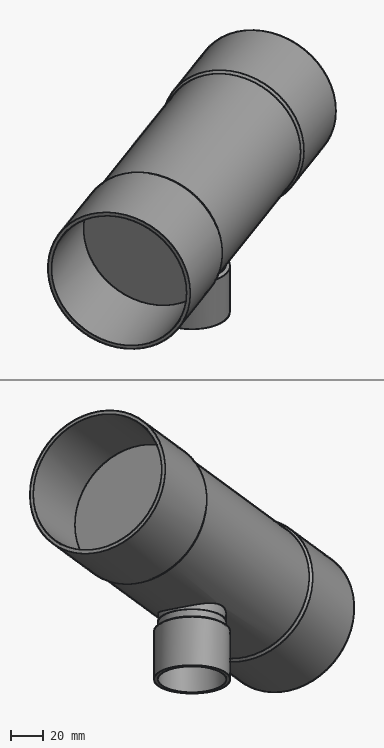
import cadquery as cq

length = 256.0
pipe_diameter = 91.0
collar_diameter = 94.0
collar_length = 58.0
collar_taper = 1.8
socket_diameter = 89.0
socket_depth = 56.3

branch_drop = 85.2
branch_root_diameter = 42.0
branch_neck_diameter = 42.5
branch_collar_diameter = 47.0
branch_collar_length = 33.5
branch_collar_taper = 1.5
branch_neck_length = 4.5
branch_wall = (collar_diameter - socket_diameter) / 2
branch_socket_diameter = branch_collar_diameter - 2 * branch_wall
branch_socket_depth = branch_collar_length - branch_collar_taper


def cylinder(diameter, height):
    """Upright cylinder standing on the XY plane."""
    return cq.Workplane("XY").circle(diameter / 2).extrude(height)


def tapered_collar(small_diameter, large_diameter, collar_height, taper):
    """Upright collar whose open end is at Z = 0 and whose top narrows to the small diameter."""
    profile = [
        (0, 0),
        (large_diameter / 2, 0),
        (large_diameter / 2, collar_height - taper),
        (small_diameter / 2, collar_height),
        (0, collar_height),
    ]
    return cq.Workplane("XZ").polyline(profile).close().revolve(360, (0, 0, 0), (0, 1, 0))


def place_at_pipe_ends(shape):
    """Two copies of an upright shape, each pointing inward from one end of the pipe."""
    front = shape.rotate((0, 0, 0), (1, 0, 0), -90).translate((0, -length / 2, 0))
    return front.union(front.mirror("XZ"))


def make_branch():
    """Branch with a collar, a short neck and a root that reaches into the pipe."""
    collar = tapered_collar(
        branch_neck_diameter, branch_collar_diameter, branch_collar_length, branch_collar_taper
    )
    neck = cylinder(branch_neck_diameter, branch_collar_length + branch_neck_length)
    root = cylinder(branch_root_diameter, branch_drop)
    return collar.union(neck).union(root).translate((0, 0, -branch_drop))


pipe = cylinder(pipe_diameter, length).translate((0, 0, -length / 2)).rotate((0, 0, 0), (1, 0, 0), 90)
collars = place_at_pipe_ends(
    tapered_collar(pipe_diameter, collar_diameter, collar_length, collar_taper)
)

sockets = place_at_pipe_ends(cylinder(socket_diameter, socket_depth))
branch_socket = cylinder(branch_socket_diameter, branch_socket_depth).translate((0, 0, -branch_drop))

result = pipe.union(collars).union(make_branch()).cut(sockets).cut(branch_socket)